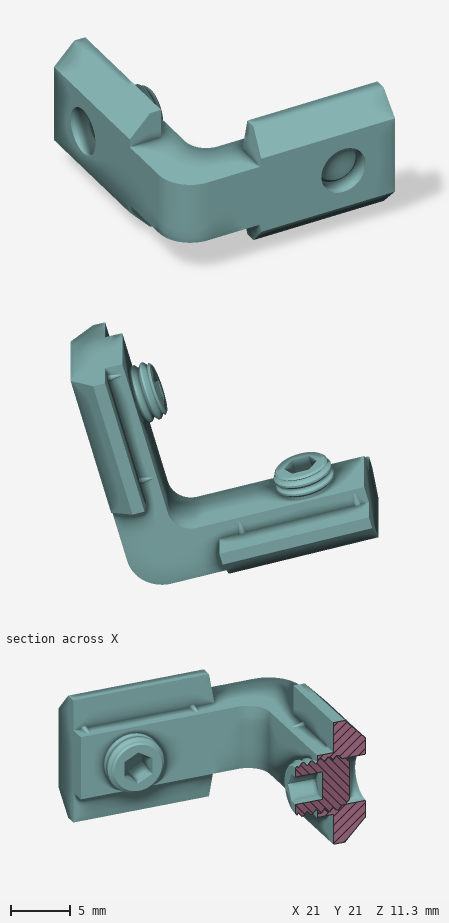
import math

import cadquery as cq

span = 21.0
arm_thickness = 4.5
arm_height = 5.75
outer_radius = 3.0
inner_radius = 2.0

flange_length = 13.0
flange_thickness = 3.0
flange_height = 11.3
flange_face_height = 7.27
flange_lip = 1.05
end_draft_angle = 10.0

rib_length = 1.2
rib_root_radius = 0.34
rib_tip_radius = 0.1
rib_end_offset = 0.99
rib_spacing = 10.02

screw_length = 5.0
crest_radius = 2.5
root_radius = 2.12
tip_radius = 1.76
thread_pitch = 0.8
crest_width = 0.17
first_crest = 0.7
crest_count = 5
socket_across_flats = 2.5
socket_depth = 2.5
bore_overrun = 2.1

straight_head_x = 5.0
straight_head_y = arm_thickness + 2.02
tilted_head_x = 14.55
tilted_head_y = 16.6
screw_tilt = 4.8

diagonal_start = (0, span, 0)
diagonal_end = (span, 0, 0)


def onto_upright_arm(shape):
    return shape.rotate(diagonal_start, diagonal_end, 180)


def make_corner():
    """L-shaped web with a rounded outer and inner corner."""
    inner_x = span - arm_thickness
    web = (
        cq.Workplane("XY")
        .polyline([
            (0, 0),
            (span, 0),
            (span, span),
            (inner_x, span),
            (inner_x, arm_thickness),
            (0, arm_thickness),
        ])
        .close()
        .extrude(arm_height / 2, both=True)
    )
    web = web.edges(cq.selectors.NearestToPointSelector((span, 0, 0))).fillet(outer_radius)
    inner_corner = cq.selectors.NearestToPointSelector((inner_x, arm_thickness, 0))
    return web.edges(inner_corner).fillet(inner_radius)


def make_flange():
    """Bevelled flange of the arm along X, square at both ends."""
    face_half = flange_face_height / 2
    half = flange_height / 2
    bevel_end = flange_thickness - flange_lip
    return (
        cq.Workplane("YZ")
        .polyline([
            (0, -face_half),
            (0, face_half),
            (bevel_end, half),
            (flange_thickness, half),
            (flange_thickness, -half),
            (bevel_end, -half),
        ])
        .close()
        .extrude(flange_length)
    )


def draft_inner_end(flange):
    """Slope the flange end back from the arm sides towards the flange edges."""
    half_arm = arm_height / 2
    half = flange_height / 2
    setback = (half - half_arm) * math.tan(math.radians(end_draft_angle))
    outline = (
        cq.Workplane("XZ")
        .polyline([
            (0, -half),
            (flange_length - setback, -half),
            (flange_length, -half_arm),
            (flange_length, half_arm),
            (flange_length - setback, half),
            (0, half),
        ])
        .close()
        .extrude(-flange_thickness)
    )
    return flange.intersect(outline)


def make_ribs():
    """Four partly sunk cones, two on each side of the arm along X."""
    sink = rib_tip_radius
    ribs = []
    for x in (rib_end_offset, rib_end_offset + rib_spacing):
        for side in (-1, 1):
            base = cq.Vector(x, flange_thickness, side * (arm_height / 2 - sink))
            cone = cq.Solid.makeCone(rib_root_radius, rib_tip_radius, rib_length, base, cq.Vector(0, 1, 0))
            ribs.append(cq.Workplane(cone))
    return ribs


def thread_points():
    """(radius, depth below the head) along the thread, from the head face to the last root."""
    start_root = first_crest - thread_pitch / 2
    flank_slope = (crest_radius - root_radius) / ((thread_pitch - crest_width) / 2)
    chamfer = start_root * flank_slope / (1 + flank_slope)
    points = [(root_radius, 0), (root_radius + chamfer, chamfer), (root_radius, start_root)]
    for turn in range(crest_count):
        crest = first_crest + turn * thread_pitch
        points += [
            (crest_radius, crest - crest_width / 2),
            (crest_radius, crest + crest_width / 2),
            (root_radius, crest + thread_pitch / 2),
        ]
    return points


def revolve_down(points, depth):
    """Revolve a head-to-tip profile about the Z axis, closed at the given depth."""
    profile = [(0, 0)] + [(r, -z) for r, z in points] + [(0, -depth)]
    return cq.Workplane("XZ").polyline(profile).close().revolve(360, (0, 0), (0, 1))


def make_screw():
    """Set screw with its head face at the origin, pointing down -Z."""
    tip_chamfer = root_radius - tip_radius
    tip = [(root_radius, screw_length - tip_chamfer), (tip_radius, screw_length)]
    screw = revolve_down(thread_points() + tip, screw_length)
    socket = (
        cq.Workplane("XY")
        .polygon(6, socket_across_flats / math.cos(math.pi / 6))
        .extrude(-socket_depth)
    )
    return screw.cut(socket)


def make_bore():
    """Cutter for a hole that matches the screw thread and runs on past its tip."""
    depth = screw_length + bore_overrun
    return revolve_down(thread_points() + [(root_radius, depth)], depth)


def place_straight(shape):
    return shape.rotate((0, 0, 0), (1, 0, 0), -90).translate((straight_head_x, straight_head_y, 0))


def place_tilted(shape):
    """Point the screw along +X, tilted towards the corner, with socket corners up and down."""
    pointed = shape.rotate((0, 0, 0), (0, 0, 1), 90).rotate((0, 0, 0), (1, 0, 0), -90)
    turned = pointed.rotate((0, 0, 0), (0, 0, 1), 90 - screw_tilt)
    return turned.translate((tilted_head_x, tilted_head_y, 0))


placements = (place_straight, place_tilted)

flange = make_flange()
bracket = make_corner().union(flange).union(onto_upright_arm(draft_inner_end(flange)))
for rib in make_ribs():
    bracket = bracket.union(rib).union(onto_upright_arm(rib))
for place in placements:
    bracket = bracket.cut(place(make_bore()))

screws = [place(make_screw()) for place in placements]

result = cq.Compound.makeCompound([bracket.val(), *[screw.val() for screw in screws]])